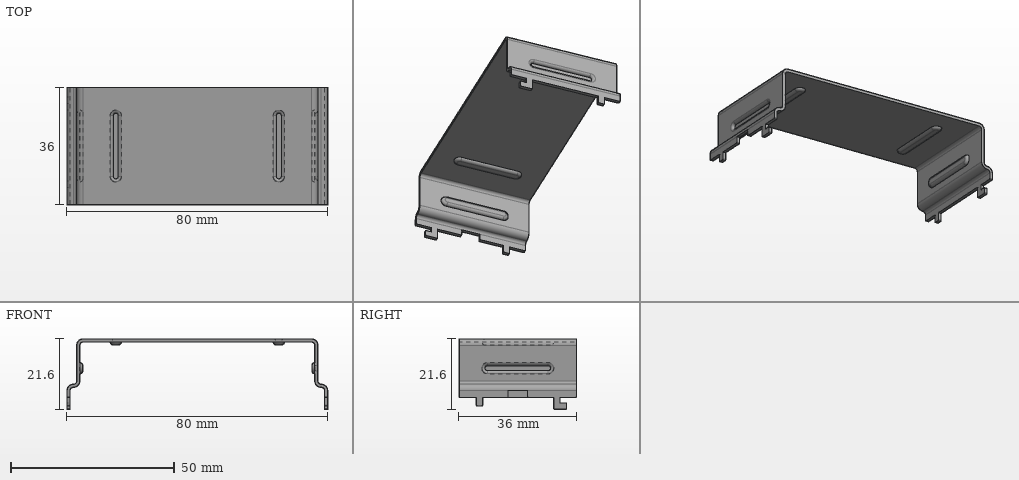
import cadquery as cq
thickness = 1.0
overall_width = 80.0
length = 36.0
overall_height = 21.6
inner_bend = 1.0
outer_bend = inner_bend + thickness

flange_outer = overall_width / 2
wall_outer = flange_outer - inner_bend - outer_bend
wall_end_drop = 12.9
flange_drop = 18.0
wall_end_z = overall_height - wall_end_drop
flange_bend_z = wall_end_z - inner_bend - outer_bend
flange_z = overall_height - flange_drop

tab_width = 2.0
hook_tab_y = 12.0
plain_tab_y = -11.75
plain_tab_drop = 2.6
hook_lip_reach = 2.0
hook_lip_height = 2.0
corner_radius = 0.3

notch_width = 6.0

bead_straight = 18.6
bead_depth = 0.9
hollow_floor_radius = 0.75
rib_radius = hollow_floor_radius + thickness
top_bead_x = 25.0
wall_bead_drop = 9.0

UP, DOWN, LEFT, RIGHT = (0, 1), (0, -1), (-1, 0), (1, 0)


def quarter_arc(center_x, center_z, radius, start, end):
    """Middle and end points of a quarter arc that runs between two axis directions from its centre."""
    diagonal = 0.5 ** 0.5
    middle = (
        center_x + radius * diagonal * (start[0] + end[0]),
        center_z + radius * diagonal * (start[1] + end[1]),
    )
    finish = (center_x + radius * end[0], center_z + radius * end[1])
    return middle, finish


def mirrored_pair(solid):
    """The solid together with its mirror image across the middle plane X = 0."""
    return solid.union(solid.mirror("YZ"))


def round_edge_corners(solid, spacing):
    """Round the two corners of the right flange edge that lie this far apart about Y = 0."""
    reach_y = spacing / 2 + corner_radius
    corners = cq.selectors.BoxSelector(
        (flange_outer - thickness, -reach_y, flange_z - corner_radius),
        (flange_outer, reach_y, flange_z + corner_radius),
    )
    return solid.edges("|X").edges(corners).fillet(corner_radius)


def make_half_sheet():
    """Right half of the bent sheet, from the middle of the top to the flange edge."""
    top_center = (wall_outer - outer_bend, overall_height - outer_bend)
    step_center = (wall_outer + inner_bend, wall_end_z)
    flange_center = (flange_outer - outer_bend, flange_bend_z)
    profile = (
        cq.Workplane("XZ", origin=(0, length / 2, 0))
        .moveTo(0, overall_height)
        .lineTo(top_center[0], overall_height)
        .threePointArc(*quarter_arc(*top_center, outer_bend, UP, RIGHT))
        .lineTo(wall_outer, wall_end_z)
        .threePointArc(*quarter_arc(*step_center, inner_bend, LEFT, DOWN))
        .threePointArc(*quarter_arc(*flange_center, outer_bend, UP, RIGHT))
        .lineTo(flange_outer, flange_z)
        .lineTo(flange_outer - thickness, flange_z)
        .lineTo(flange_outer - thickness, flange_bend_z)
        .threePointArc(*quarter_arc(*flange_center, inner_bend, RIGHT, UP))
        .threePointArc(*quarter_arc(*step_center, outer_bend, DOWN, LEFT))
        .lineTo(wall_outer - thickness, top_center[1])
        .threePointArc(*quarter_arc(*top_center, inner_bend, RIGHT, UP))
        .lineTo(0, overall_height - thickness)
        .close()
    )
    return round_edge_corners(profile.extrude(length), length)


def make_tabs():
    """Hooked tab and plain tab that hang from the right flange, flush with its faces."""
    neck_inner_y = hook_tab_y - tab_width / 2
    neck_outer_y = hook_tab_y + tab_width / 2
    lip_end_y = neck_outer_y + hook_lip_reach
    flange_plane = cq.Workplane("YZ", origin=(flange_outer - thickness, 0, 0))
    hook = flange_plane.polyline(
        [
            (neck_inner_y, flange_z),
            (neck_inner_y, 0),
            (lip_end_y, 0),
            (lip_end_y, hook_lip_height),
            (neck_outer_y, hook_lip_height),
            (neck_outer_y, flange_z),
        ]
    ).close().extrude(thickness)
    plain = (
        flange_plane.center(plain_tab_y, flange_z - plain_tab_drop / 2)
        .rect(tab_width, plain_tab_drop)
        .extrude(thickness)
    )
    plain = plain.edges("|X and <Z").fillet(corner_radius)
    hook = hook.edges("|X").edges("<Z or >Y").fillet(corner_radius)
    return hook.union(plain)


def cut_right_notch(cover):
    """Cut the notch into the right flange and round the two corners where it meets the edge."""
    notch_height = flange_bend_z - flange_z
    notch = cq.Workplane("XY").box(thickness, notch_width, notch_height).translate(
        (flange_outer - thickness / 2, 0, flange_z + notch_height / 2)
    )
    return round_edge_corners(cover.cut(notch), notch_width)


def round_ended_bar(half_section):
    """Bar along Y with the given half section (X from 0 outward, Z), turned about Z at both ends."""
    half_straight = bead_straight / 2
    side = half_section.extrude(half_straight, both=True)
    end = half_section.toPending().revolve(360, (0, 0, 0), (0, 1, 0))
    bar = mirrored_pair(side)
    for end_y in (-half_straight, half_straight):
        bar = bar.union(end.translate((0, end_y, 0)))
    return bar


def make_bead_hollow():
    """Hollow below Z = 0: a flat floor with sides that curve outward up to the mouth."""
    mouth_radius = hollow_floor_radius + bead_depth
    half_section = (
        cq.Workplane("XZ")
        .lineTo(mouth_radius, 0)
        .threePointArc(*quarter_arc(mouth_radius, -bead_depth, bead_depth, UP, LEFT))
        .lineTo(0, -bead_depth)
        .close()
    )
    return round_ended_bar(half_section)


def make_bead_rib():
    """Bead body below Z = 0: one sheet thickness outside the hollow, with a rounded lower edge."""
    half_section = (
        cq.Workplane("XZ")
        .lineTo(rib_radius, 0)
        .lineTo(rib_radius, -bead_depth)
        .threePointArc(*quarter_arc(hollow_floor_radius, -bead_depth, thickness, RIGHT, DOWN))
        .lineTo(0, -bead_depth - thickness)
        .close()
    )
    return round_ended_bar(half_section)


def on_top(bead):
    """Move a bead from the origin to the right half of the top face."""
    return bead.translate((top_bead_x, 0, overall_height))


def on_wall(bead):
    """Turn a bead to press inward and move it to the outer face of the right wall."""
    turned = bead.rotate((0, 0, 0), (0, 1, 0), 90)
    return turned.translate((wall_outer, 0, overall_height - wall_bead_drop))


half_cover = make_half_sheet().union(make_tabs())
for place in (on_top, on_wall):
    half_cover = half_cover.union(place(make_bead_rib())).cut(place(make_bead_hollow()))

result = cut_right_notch(mirrored_pair(half_cover))